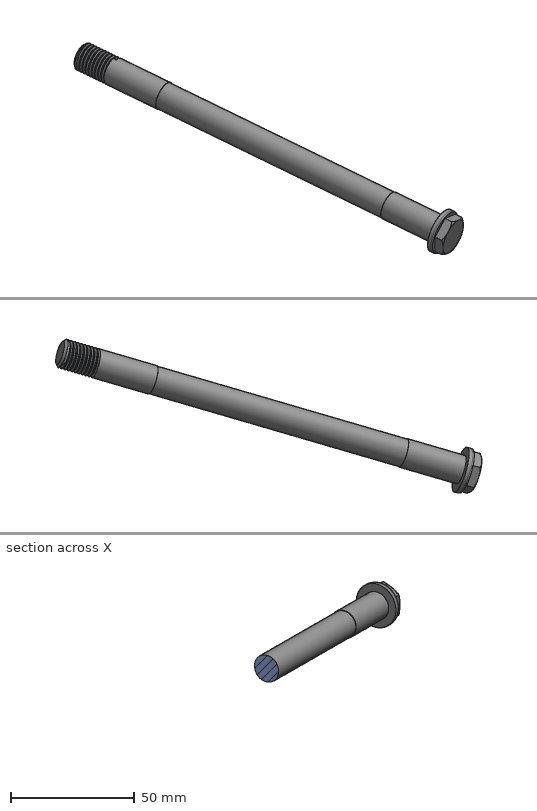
import cadquery as cq
import math

total_length = 181.0
shank_length = 174.7
thread_length = 16.3
first_land_end = 40.4
last_land_length = 25.0
flange_thickness = 2.4
flange_bevel_length = 0.7
flange_bevel_depth = 0.2

land_diameter = 12.1
waist_diameter = 11.8
thread_diameter = land_diameter
flange_diameter = 19.0
hex_across_flats = 15.0
head_chamfer_length = 0.7
head_chamfer_depth = 1.0

thread_pitch = 1.5
thread_depth = 0.9
groove_width = 1.3
root_width = 0.2
groove_overshoot = 0.2
tip_chamfer = 1.0
groove_start = 1.5

thread_radius = thread_diameter / 2
hex_across_corners = hex_across_flats / math.cos(math.pi / 6)


def cylinder_x(start, end, diameter):
    """Cylinder along X between two stations."""
    return cq.Workplane("YZ").workplane(offset=start).circle(diameter / 2).extrude(end - start)


def make_shank():
    """Thread blank with chamfered tip, then two lands joined by the waist."""
    last_land_start = shank_length - last_land_length
    thread_blank = cylinder_x(0, thread_length, thread_diameter).faces("<X").chamfer(tip_chamfer)
    first_land = cylinder_x(thread_length, first_land_end, land_diameter)
    waist = cylinder_x(first_land_end, last_land_start, waist_diameter)
    last_land = cylinder_x(last_land_start, shank_length, land_diameter)
    return thread_blank.union(first_land).union(waist).union(last_land)


def make_head():
    """Round flange, bevelled beside the hexagon, whose end corners are chamfered by a cone."""
    flange_end = shank_length + flange_thickness
    flange = cylinder_x(shank_length, flange_end, flange_diameter)
    flange = flange.faces(">X").chamfer(flange_bevel_length, flange_bevel_depth)
    hexagon = (
        cq.Workplane("YZ").workplane(offset=flange_end)
        .transformed(rotate=(0, 0, 90))
        .polygon(6, hex_across_corners)
        .extrude(total_length - flange_end)
    )
    chamfer_envelope = (
        cylinder_x(flange_end, total_length, hex_across_corners)
        .faces(">X").chamfer(head_chamfer_length, head_chamfer_depth)
    )
    return flange.union(hexagon.intersect(chamfer_envelope))


def make_thread_groove():
    """Helical V groove, starting just past the tip chamfer and ending at the land."""
    root_radius = thread_radius - thread_depth
    crest_radius = thread_radius + groove_overshoot
    flank_slope = (groove_width - root_width) / 2 / thread_depth
    crest_half_width = root_width / 2 + flank_slope * (crest_radius - root_radius)
    helix_height = thread_length - groove_start - groove_width / 2
    helix = cq.Wire.makeHelix(thread_pitch, helix_height, root_radius)
    groove = (
        cq.Workplane("XZ")
        .moveTo(root_radius, -root_width / 2)
        .lineTo(crest_radius, -crest_half_width)
        .lineTo(crest_radius, crest_half_width)
        .lineTo(root_radius, root_width / 2)
        .close()
        .sweep(cq.Workplane(obj=helix), isFrenet=True)
    )
    return groove.rotate((0, 0, 0), (0, 1, 0), 90).translate((groove_start, 0, 0))


result = make_shank().cut(make_thread_groove()).union(make_head())